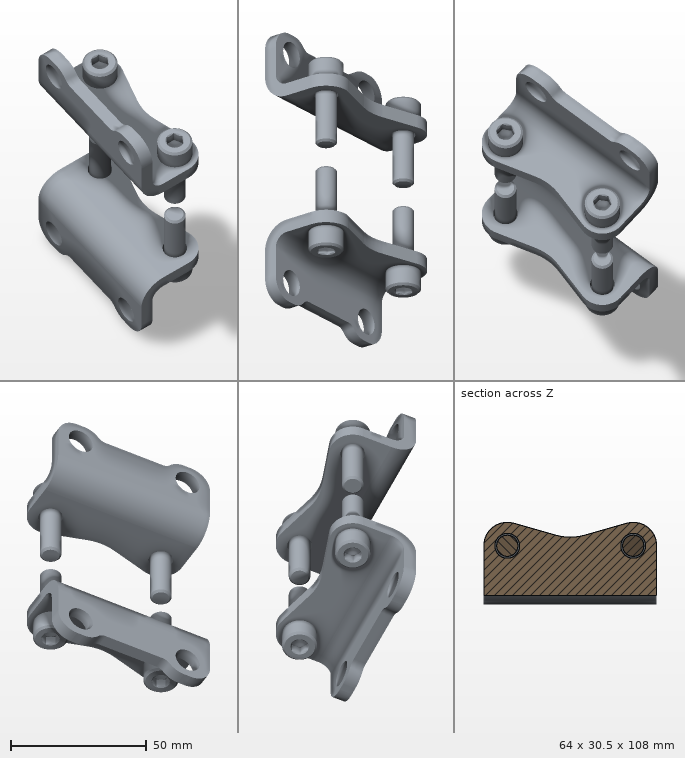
import cadquery as cq
import math

width = 64.0
thickness = 5.0
bend_outer_radius = 10.0
bend_inner_radius = bend_outer_radius - thickness
upright_height = 29.0
base_depth = 30.49

ear_radius = 8.0
ear_flat = 3.0
recess_depth = 4.0
recess_root_radius = 4.0
ear_hole_diameter = 10.0
ear_hole_x = width / 2 - ear_radius - ear_flat / 2
ear_hole_z = upright_height - ear_radius

corner_radius = 8.75
valley_y = 25.0
valley_radius = 20.0
screw_x = width / 2 - corner_radius
screw_y = base_depth - corner_radius
clearance_diameter = 9.0

shank_diameter = 8.0
shank_length = 25.0
tip_chamfer = 0.8
head_diameter = 13.0
head_height = 8.0
head_chamfer = 0.8
head_base_chamfer = 0.3
socket_across_flats = 6.0
socket_depth = 4.0
hexagon_half_side_angle = math.radians(30)
socket_across_corners = socket_across_flats / math.cos(hexagon_half_side_angle)
socket_cone_angle = math.radians(30)

base_underside_z = 25.0


def upright_outline():
    """Front outline of the ears, extruded through the whole bracket depth."""
    half = width / 2
    top = upright_height
    ear_center_x = half - ear_radius - ear_flat
    blend_angle = math.acos(1 - recess_depth / (ear_radius + recess_root_radius))
    blend_x = ear_center_x - ear_radius * math.sin(blend_angle)
    blend_z = top - ear_radius * (1 - math.cos(blend_angle))
    root_x = blend_x - recess_root_radius * math.sin(blend_angle)
    recess_z = top - recess_depth
    return (
        cq.Workplane("XZ")
        .moveTo(-half, 0)
        .lineTo(half, 0)
        .lineTo(half, top - ear_radius)
        .radiusArc((half - ear_radius, top), -ear_radius)
        .lineTo(ear_center_x, top)
        .radiusArc((blend_x, blend_z), -ear_radius)
        .radiusArc((root_x, recess_z), recess_root_radius)
        .lineTo(-root_x, recess_z)
        .radiusArc((-blend_x, blend_z), recess_root_radius)
        .radiusArc((-ear_center_x, top), -ear_radius)
        .lineTo(-half + ear_radius, top)
        .radiusArc((-half, top - ear_radius), -ear_radius)
        .close()
        .extrude(-base_depth)
    )


def base_outline():
    """Plan outline of the base flange, extruded through the whole bracket height."""
    half = width / 2
    center_rise = valley_y + valley_radius - screw_y
    center_distance = math.hypot(screw_x, center_rise)
    valley_slope = math.atan2(screw_x, center_rise) - math.acos(
        (valley_radius + corner_radius) / center_distance
    )
    slope_sin = math.sin(valley_slope)
    slope_cos = math.cos(valley_slope)
    shoulder_x = screw_x - corner_radius * slope_sin
    shoulder_y = screw_y + corner_radius * slope_cos
    valley_end_x = valley_radius * slope_sin
    valley_end_y = valley_y + valley_radius * (1 - slope_cos)
    return (
        cq.Workplane("XY")
        .moveTo(-half, 0)
        .lineTo(half, 0)
        .lineTo(half, screw_y)
        .threePointArc((screw_x, base_depth), (shoulder_x, shoulder_y))
        .lineTo(valley_end_x, valley_end_y)
        .threePointArc((0, valley_y), (-valley_end_x, valley_end_y))
        .lineTo(-shoulder_x, shoulder_y)
        .threePointArc((-screw_x, base_depth), (-half, screw_y))
        .close()
        .extrude(upright_height)
    )


def make_bracket():
    """L bracket with the underside of its base flange on Z = 0."""
    bent_plate = (
        cq.Workplane("YZ")
        .moveTo(0, upright_height)
        .lineTo(0, bend_outer_radius)
        .radiusArc((bend_outer_radius, 0), -bend_outer_radius)
        .lineTo(base_depth, 0)
        .lineTo(base_depth, thickness)
        .lineTo(bend_outer_radius, thickness)
        .radiusArc((thickness, bend_outer_radius), bend_inner_radius)
        .lineTo(thickness, upright_height)
        .close()
        .extrude(width / 2, both=True)
    )
    ear_holes = (
        cq.Workplane("XZ")
        .pushPoints([(-ear_hole_x, ear_hole_z), (ear_hole_x, ear_hole_z)])
        .circle(ear_hole_diameter / 2)
        .extrude(-thickness)
    )
    screw_holes = (
        cq.Workplane("XY")
        .pushPoints([(-screw_x, screw_y), (screw_x, screw_y)])
        .circle(clearance_diameter / 2)
        .extrude(thickness)
    )
    return (
        bent_plate.intersect(upright_outline())
        .intersect(base_outline())
        .cut(ear_holes)
        .cut(screw_holes)
    )


def make_screw():
    """Cap screw along Z, with the underside of its head on Z = 0 and its tip pointing down."""
    head = (
        cq.Workplane("XY")
        .circle(head_diameter / 2)
        .extrude(head_height)
        .faces(">Z")
        .chamfer(head_chamfer)
        .faces("<Z")
        .chamfer(head_base_chamfer)
    )
    shank = (
        cq.Workplane("XY")
        .circle(shank_diameter / 2)
        .extrude(-shank_length)
        .faces("<Z")
        .chamfer(tip_chamfer)
    )
    corner_turn = 30
    socket_floor_z = head_height - socket_depth
    socket = (
        cq.Workplane("XY")
        .workplane(offset=socket_floor_z)
        .polygon(6, socket_across_corners)
        .extrude(socket_depth)
        .rotate((0, 0, 0), (0, 0, 1), corner_turn)
    )
    floor_radius = socket_across_flats / 2
    mouth_radius = socket_across_corners / 2
    cone_depth = floor_radius * math.tan(socket_cone_angle)
    socket_ends = (
        cq.Workplane("XZ")
        .moveTo(0, socket_floor_z - cone_depth)
        .lineTo(floor_radius, socket_floor_z)
        .lineTo(floor_radius, head_height - (mouth_radius - floor_radius))
        .lineTo(mouth_radius, head_height)
        .lineTo(0, head_height)
        .close()
        .revolve(360, (0, 0, 0), (0, 1, 0))
    )
    return head.union(shank).cut(socket).cut(socket_ends)


bracket = make_bracket().translate((0, 0, base_underside_z))
screw = make_screw().translate((0, screw_y, base_underside_z + thickness))

bodies = []
for upper in (True, False):
    half_bodies = [bracket]
    for side in (-1, 1):
        half_bodies.append(screw.translate((side * screw_x, 0, 0)))
    for body in half_bodies:
        placed = body if upper else body.mirror("XY")
        bodies.append(placed.val())

result = cq.Compound.makeCompound(bodies)